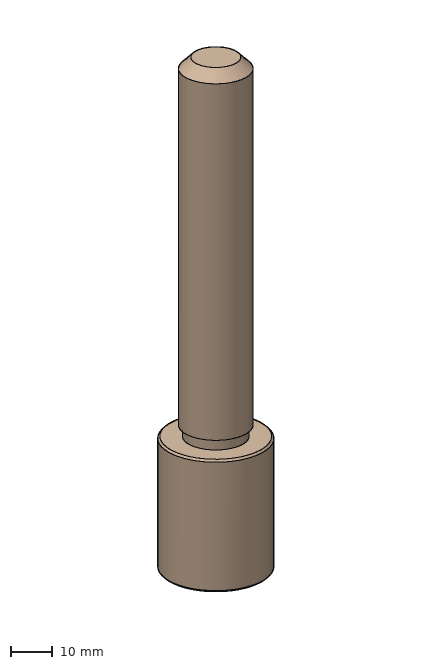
import cadquery as cq

total_length = 135.0
head_diameter = 28.0
head_length = 35.0
head_chamfer = 0.5
neck_diameter = 16.0
neck_length = 3.0
shank_diameter = 18.0
tip_chamfer = 3.0

shank_length = total_length - head_length - neck_length


def cylinder(diameter, length, base_z):
    """Upright cylinder on the Z axis, standing on base_z."""
    return cq.Workplane("XY").workplane(offset=base_z).circle(diameter / 2).extrude(length)


head = cylinder(head_diameter, head_length, 0).edges("%CIRCLE").chamfer(head_chamfer)

neck = cylinder(neck_diameter, neck_length, head_length)

shank = cylinder(shank_diameter, shank_length, head_length + neck_length)
shank = shank.faces(">Z").edges().chamfer(tip_chamfer)

result = head.union(neck).union(shank)